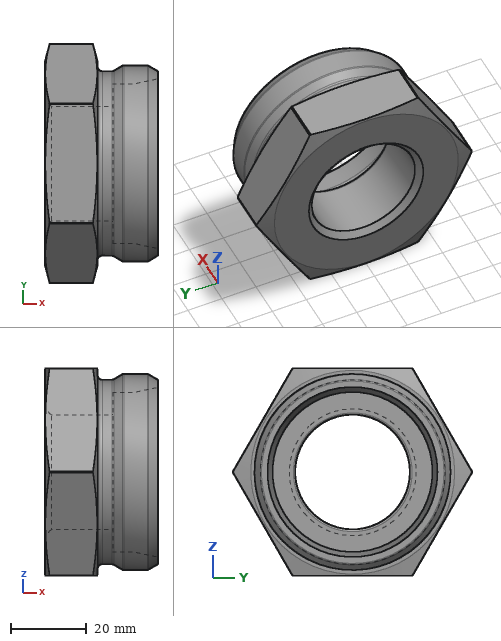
import cadquery as cq
import math

total_length = 30.0
head_length = 14.0
across_flats = 55.0
across_corners = 63.3

chamfer_face_diameter = 54.0
chamfer_angle = 15.0

groove_radius = 48.9 / 2
collar_radius = 52.0 / 2
cone_angle = 30.0
groove_end = 18.05
collar_end = 27.3
root_fillet = 1.2
groove_blend = 1.15
collar_blend = 0.7
end_blend = 0.45

bore_radius = 30.3 / 2
bore_mouth_chamfer = 1.65
bore_end = 18.05
socket_radius = 42.35 / 2
flare_start = 23.7
flare_angle = 12.0
bore_edge_blend = 0.6


def tan_deg(angle):
    return math.tan(math.radians(angle))


def revolve_about_x(profile):
    return profile.close().revolve(360, (0, 0, 0), (1, 0, 0))


def edges_at(x, radius):
    """Select the circular edge around the X axis at the given place."""
    margin = 0.03
    return cq.selectors.BoxSelector(
        (x - margin, -radius - margin, -radius - margin),
        (x + margin, radius + margin, radius + margin),
        boundingbox=True,
    )


def make_head():
    hexagon_diameter = across_flats / math.cos(math.radians(30))
    hexagon = cq.Workplane("YZ").polygon(6, hexagon_diameter).extrude(head_length)
    face_radius = chamfer_face_diameter / 2
    corner_radius = across_corners / 2
    chamfer_length = (corner_radius - face_radius) * tan_deg(chamfer_angle)
    envelope = revolve_about_x(
        cq.Workplane("XY")
        .moveTo(0, 0)
        .lineTo(0, face_radius)
        .lineTo(chamfer_length, corner_radius)
        .lineTo(head_length - chamfer_length, corner_radius)
        .lineTo(head_length, face_radius)
        .lineTo(head_length, 0)
    )
    return hexagon.intersect(envelope)


def make_spigot():
    collar_start = groove_end + (collar_radius - groove_radius) / tan_deg(cone_angle)
    tip_radius = collar_radius - (total_length - collar_end) * tan_deg(cone_angle)
    root_centre = (head_length + root_fillet, groove_radius + root_fillet)
    diagonal = root_fillet * math.sqrt(0.5)
    spigot = revolve_about_x(
        cq.Workplane("XY")
        .moveTo(head_length, 0)
        .lineTo(head_length, root_centre[1])
        .threePointArc(
            (root_centre[0] - diagonal, root_centre[1] - diagonal),
            (root_centre[0], groove_radius),
        )
        .lineTo(groove_end, groove_radius)
        .lineTo(collar_start, collar_radius)
        .lineTo(collar_end, collar_radius)
        .lineTo(total_length, tip_radius)
        .lineTo(total_length, 0)
    )
    blends = [
        (groove_end, groove_radius, groove_blend),
        (collar_start, collar_radius, collar_blend),
        (collar_end, collar_radius, collar_blend),
        (total_length, tip_radius, end_blend),
    ]
    for x, radius, blend in blends:
        spigot = spigot.edges(edges_at(x, radius)).fillet(blend)
    return spigot


def make_bore():
    mouth_radius = socket_radius + (total_length - flare_start) * tan_deg(flare_angle)
    bore = revolve_about_x(
        cq.Workplane("XY")
        .moveTo(0, 0)
        .lineTo(0, bore_radius + bore_mouth_chamfer)
        .lineTo(bore_mouth_chamfer, bore_radius)
        .lineTo(bore_end, bore_radius)
        .lineTo(bore_end, socket_radius)
        .lineTo(flare_start, socket_radius)
        .lineTo(total_length, mouth_radius)
        .lineTo(total_length, 0)
    )
    return bore.edges(edges_at(bore_end, bore_radius)).fillet(bore_edge_blend)


result = make_head().union(make_spigot()).cut(make_bore())